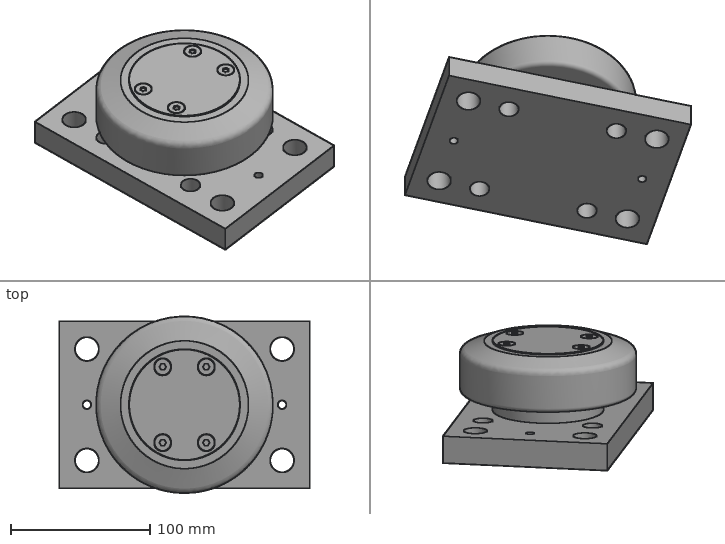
import cadquery as cq
import math

plate_length = 180.0
plate_width = 120.0
plate_thickness = 20.0
mount_hole_diameter = 17.0
inner_hole_diameter = 13.9
dowel_hole_diameter = 6.0
hole_spacing_y = 80.0
mount_spacing_x = 140.0
inner_spacing_x = 80.0

overall_height = 71.5
pin_diameter = 80.0
pin_rise = 0.7
pin_chamfer = 0.4
roller_diameter = 126.9
roller_bottom = 33.5
roller_top = overall_height - pin_rise
crown_flat_diameter = 91.8
crown_slope = 20.0
roller_top_fillet = 5.0
roller_bottom_fillet = 3.2

screw_spacing_x = 31.3
screw_spacing_y = 54.4
counterbore_diameter = 12.5
screw_head_diameter = 11.7
screw_recess_depth = 6.0
hex_across_flats = 4.1
hex_depth = 1.0


def through_holes(plate, spacing_x, spacing_y, diameter):
    """Drill a rectangular pattern of four holes through the plate."""
    return (
        plate.faces(">Z").workplane(origin=(0, 0, plate_thickness))
        .rect(spacing_x, spacing_y, forConstruction=True)
        .vertices().hole(diameter)
    )


def make_plate():
    plate = cq.Workplane("XY").box(
        plate_length, plate_width, plate_thickness, centered=(True, True, False)
    )
    plate = through_holes(plate, mount_spacing_x, hole_spacing_y, mount_hole_diameter)
    plate = through_holes(plate, inner_spacing_x, hole_spacing_y, inner_hole_diameter)
    dowel_x = mount_spacing_x / 2
    return (
        plate.faces(">Z").workplane(origin=(0, 0, plate_thickness))
        .pushPoints([(-dowel_x, 0), (dowel_x, 0)]).hole(dowel_hole_diameter)
    )


def make_roller():
    """Revolve the roller with its conical crown, then round its outer edges."""
    outer_radius = roller_diameter / 2
    flat_radius = crown_flat_diameter / 2
    crown_drop = (outer_radius - flat_radius) * math.tan(math.radians(crown_slope))
    shoulder_height = roller_top - crown_drop
    roller = (
        cq.Workplane("XZ")
        .moveTo(0, roller_bottom)
        .lineTo(outer_radius, roller_bottom)
        .lineTo(outer_radius, shoulder_height)
        .lineTo(flat_radius, roller_top)
        .lineTo(0, roller_top)
        .close()
        .revolve(360, (0, 0, 0), (0, 1, 0))
    )
    shoulder_center = (0, 0, shoulder_height)
    shoulder_edge = cq.selectors.NearestToPointSelector(shoulder_center)
    roller = roller.edges(shoulder_edge).fillet(roller_top_fillet)
    return roller.faces("<Z").edges().fillet(roller_bottom_fillet)


def make_screw_cut():
    """Clearance ring around one screw head plus its hex socket, below the pin end."""
    ring = (
        cq.Workplane("XY").circle(counterbore_diameter / 2)
        .circle(screw_head_diameter / 2).extrude(-screw_recess_depth)
    )
    hex_across_corners = hex_across_flats / math.cos(math.pi / 6)
    socket = cq.Workplane("XY").polygon(6, hex_across_corners).extrude(-hex_depth)
    return ring.union(socket)


pin = (
    cq.Workplane("XY").workplane(offset=plate_thickness)
    .circle(pin_diameter / 2).extrude(overall_height - plate_thickness)
    .faces(">Z").chamfer(pin_chamfer)
)
result = make_plate().union(make_roller()).union(pin)

screw_cut = make_screw_cut()
for side_x in (-1, 1):
    for side_y in (-1, 1):
        screw_center = (side_x * screw_spacing_x / 2, side_y * screw_spacing_y / 2, overall_height)
        result = result.cut(screw_cut.translate(screw_center))